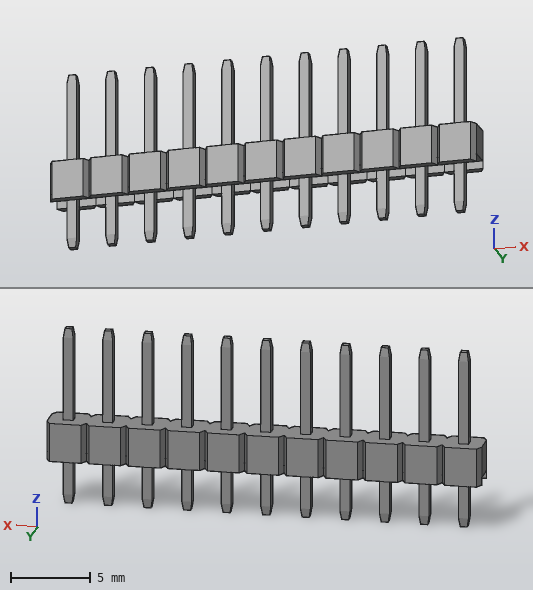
import cadquery as cq

PIN_COUNT = 11
STRIP_LENGTH = 27.95
PITCH = STRIP_LENGTH / PIN_COUNT

STRIP_WIDTH = 2.5
STRIP_HEIGHT = 2.51
NECK_WIDTH = 1.5
CORNER_LENGTH = 0.25
CHANNEL_WIDTH = 1.42
CHANNEL_DEPTH = 0.5

PIN_SIDE = 0.65
PIN_ABOVE = 6.0
PIN_BELOW = 3.0
TIP_SIDE = 0.45
TIP_LENGTH = 0.6

CELL_CENTERS = [((i - (PIN_COUNT - 1) / 2) * PITCH, 0) for i in range(PIN_COUNT)]


def make_cell(center):
    """One pitch of the strip: a block with its four vertical corners cut."""
    half_length = PITCH / 2
    half_width = STRIP_WIDTH / 2
    half_neck = NECK_WIDTH / 2
    flat_end = half_length - CORNER_LENGTH
    outline = [
        (-half_length, -half_neck),
        (-flat_end, -half_width),
        (flat_end, -half_width),
        (half_length, -half_neck),
        (half_length, half_neck),
        (flat_end, half_width),
        (-flat_end, half_width),
        (-half_length, half_neck),
    ]
    return cq.Workplane("XY").polyline(outline).close().extrude(STRIP_HEIGHT).translate((*center, 0))


def make_strip():
    """Row of cells with a channel running along the whole underside."""
    strip = make_cell(CELL_CENTERS[0])
    for center in CELL_CENTERS[1:]:
        strip = strip.union(make_cell(center))
    channel = cq.Workplane("XY").rect(STRIP_LENGTH, CHANNEL_WIDTH).extrude(CHANNEL_DEPTH)
    return strip.cut(channel)


def make_tip(base_z, direction):
    """Pyramid frustum growing from base_z, upward (+1) or downward (-1)."""
    return (
        cq.Workplane("XY", origin=(0, 0, base_z))
        .rect(PIN_SIDE, PIN_SIDE)
        .workplane(offset=direction * TIP_LENGTH)
        .rect(TIP_SIDE, TIP_SIDE)
        .loft(ruled=True)
    )


def make_pin():
    """Square pin, tapered at both ends."""
    shank_bottom = TIP_LENGTH - PIN_BELOW
    shank_top = STRIP_HEIGHT + PIN_ABOVE - TIP_LENGTH
    shank = (
        cq.Workplane("XY", origin=(0, 0, shank_bottom))
        .rect(PIN_SIDE, PIN_SIDE)
        .extrude(shank_top - shank_bottom)
    )
    return shank.union(make_tip(shank_top, 1)).union(make_tip(shank_bottom, -1))


pin = make_pin()
result = make_strip()
for pin_x, pin_y in CELL_CENTERS:
    result = result.union(pin.translate((pin_x, pin_y, 0)))